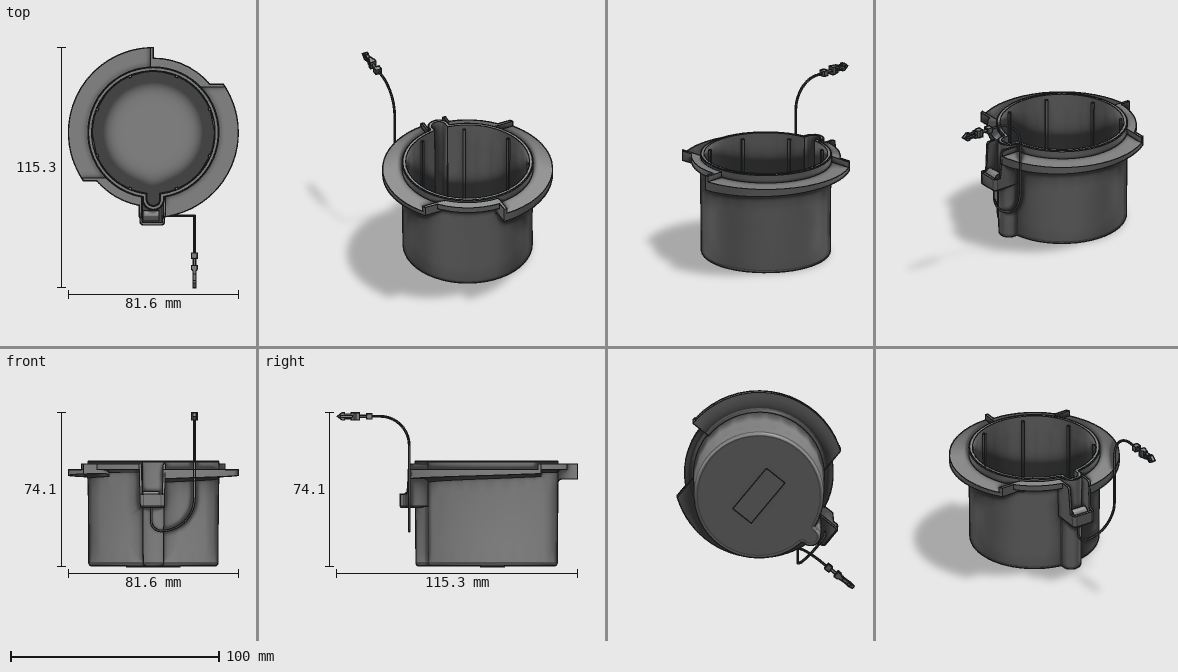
import cadquery as cq
import math

rim_z = 50.4
cup_radius = 31.5
cup_wall = 1.8
floor_thickness = 2.0
draft = 0.5
base_fillet = 1.6
rim_chamfer = 0.4
column_y = -32.0
column_radius = 5.25
pad_size = (25.6, 11.4)
pad_height = 0.4

rib_count = 8
rib_width = 1.2
rib_inner_radius = 28.6
rib_top_z = rim_z - 2.3

flange_radius = 40.8
flange_top_z = rim_z - 4.2
ring_radius = 35.7
ring_top_z = rim_z - 1.4
sector_end = 23.2
tab_thickness = 1.4
thick_end = 4.5
ramp_pitch = 7.3
ramp_angle = 145.0
root_fillet = 1.9

lug_left = -6.85
lug_right = 5.8
lug_side_draft = 0.6
lug_wall = 1.05
lug_back_y = -28.5
lug_top_z = ring_top_z
lug_bottom_z = rim_z - 22.4
box_top_z = rim_z - 15.95
box_front_y = -44.4
box_wall = 1.25
box_corner = 1.6
lug_bottom_chamfer = 0.7
arm_top_y = -40.2
arm_bottom_y = -41.1
arm_round = 1.5

barrel_diameter = 5.0
barrel_length = 7.8
barrel_x = -1.1
barrel_y = -40.0
barrel_z = rim_z - 17.25
wire_diameter = 0.8
small_bend = 5.0
large_bend = 15.8
upper_bend = 13.9
low_point_z = rim_z - 33.6
plug_z = rim_z + 21.4
plug_x = barrel_x + small_bend + large_bend

ferrule_start = -57.8
ferrule_end = -60.45
ferrule_height = 2.65
stem_diameter = 1.3
block_start = -63.75
block_taper_start = -65.5
block_taper_end = -66.5
block_end = -67.8
block_height = 3.7
plug_width = 2.9
prong_width = 1.6
prong_half_height = 1.15
barb_back = -70.95
barb_front = -72.3
barb_half_height = 1.75
tip_y = -74.54
slot_start = -67.3
slot_end = -73.0
slot_height = 0.8

floor_of_lug_z = barrel_z - barrel_diameter / 2


def cylinder(radius, bottom, top):
    return cq.Workplane("XY").workplane(offset=bottom).circle(radius).extrude(top - bottom)


def block(x_range, y_range, z_range):
    size = [high - low for low, high in (x_range, y_range, z_range)]
    corner = (x_range[0], y_range[0], z_range[0])
    return cq.Workplane("XY").box(*size, centered=False).translate(corner)


def keyhole_outline(offset, z):
    """Outline of the round cup with its column, inset by offset, drawn at height z."""
    radius = cup_radius - offset
    half_width = column_radius - offset
    joint_y = -math.sqrt(radius**2 - half_width**2)
    return (
        cq.Workplane("XY")
        .workplane(offset=z)
        .moveTo(half_width, joint_y)
        .threePointArc((0, radius), (-half_width, joint_y))
        .lineTo(-half_width, column_y)
        .threePointArc((0, column_y - half_width), (half_width, column_y))
        .close()
    )


def make_core():
    """Solid outer form of the cup, with a chamfered rim and a rounded base."""
    shoulder_z = rim_z - rim_chamfer
    core = keyhole_outline(0, shoulder_z).extrude(-shoulder_z, taper=draft)
    core = core.faces("<Z").edges().fillet(base_fillet)
    return core.union(keyhole_outline(0, shoulder_z).extrude(rim_chamfer, taper=45))


def make_cavity():
    """Inside of the cup, with the grip ribs left standing on its wall."""
    cavity = keyhole_outline(cup_wall, rim_z).extrude(floor_thickness - rim_z, taper=draft)
    ribs_z = (floor_thickness, rib_top_z)
    for i in range(rib_count):
        rib = block((rib_inner_radius, cup_radius), (-rib_width / 2, rib_width / 2), ribs_z)
        cavity = cavity.cut(rib.rotate((0, 0, 0), (0, 0, 1), (i + 0.5) * 360 / rib_count))
    return cavity


def ring_zone(radius, bottom, top):
    """Annulus from inside the cup wall out to radius."""
    return cylinder(radius, bottom, top).cut(cylinder(cup_radius - cup_wall / 2, bottom, top))


def make_sector():
    """Flange sector from the +Y axis round over -X, with a helical underside and two end tabs."""
    wall_radius = cup_radius - 0.1
    inner_radius = cup_radius - cup_wall / 2
    underside_z = flange_top_z - thick_end
    above = ramp_pitch * ramp_angle / 360
    profile = (
        cq.Workplane("XZ")
        .moveTo(inner_radius, underside_z - root_fillet)
        .lineTo(wall_radius, underside_z - root_fillet)
        .radiusArc((wall_radius + root_fillet, underside_z), root_fillet)
        .lineTo(flange_radius + 1, underside_z)
        .lineTo(flange_radius + 1, flange_top_z + above)
        .lineTo(inner_radius, flange_top_z + above)
        .close()
    )
    helix = cq.Wire.makeHelix(ramp_pitch, above, inner_radius)
    ramp = profile.sweep(cq.Workplane(obj=helix), isFrenet=True).rotate((0, 0, 0), (0, 0, 1), 90)
    low_z = underside_z - 2 * root_fillet
    envelope = ring_zone(flange_radius, low_z, flange_top_z)
    left_half = block((-flange_radius, 0), (-sector_end, flange_radius), (low_z, ring_top_z))
    sector = ramp.intersect(envelope).intersect(left_half)

    tab_zone = ring_zone(flange_radius, flange_top_z - 1, ring_top_z)
    tab_z = (flange_top_z - 1, ring_top_z)
    thick_tab = block((-tab_thickness, 0), (0, flange_radius), tab_z)
    thin_tab = block((-flange_radius, 0), (-sector_end, tab_thickness - sector_end), tab_z)
    return sector.union(thick_tab.intersect(tab_zone)).union(thin_tab.intersect(tab_zone))


def make_ring():
    """Narrow raised ring, from the thin end of one sector to the thick end of the other."""
    inner_radius = cup_radius - cup_wall / 2
    wall_radius = cup_radius - 0.1
    profile = (
        cq.Workplane("XZ")
        .moveTo(inner_radius, flange_top_z - root_fillet)
        .lineTo(wall_radius, flange_top_z - root_fillet)
        .radiusArc((wall_radius + root_fillet, flange_top_z), root_fillet)
        .lineTo(ring_radius, flange_top_z)
        .lineTo(ring_radius, ring_top_z)
        .lineTo(inner_radius, ring_top_z)
        .close()
    )
    ring = profile.revolve(360, (0, 0, 0), (0, 1, 0))
    z_range = (flange_top_z - root_fillet, ring_top_z)
    return ring.intersect(block((-ring_radius, 0), (-ring_radius, -sector_end), z_range))


def lug_section(inset, bottom, top):
    """Front section of the lug between its drafted sides, as a long bar along Y."""
    slope = lug_side_draft / (lug_top_z - lug_bottom_z)
    low = slope * (lug_top_z - bottom) + inset
    high = slope * (lug_top_z - top) + inset
    return (
        cq.Workplane("XZ", origin=(0, lug_back_y, 0))
        .polyline([
            (lug_left + low, bottom),
            (lug_right - low, bottom),
            (lug_right - high, top),
            (lug_left + high, top),
        ])
        .close()
        .extrude(lug_back_y - box_front_y + 1)
    )


def make_lug():
    """Two side arms and the box at their foot, before the channel is cut."""
    arms = (
        cq.Workplane("YZ", origin=(lug_left, 0, 0))
        .moveTo(lug_back_y, lug_bottom_z)
        .lineTo(arm_bottom_y, lug_bottom_z)
        .lineTo(arm_bottom_y, box_top_z)
        .lineTo(arm_top_y, lug_top_z - arm_round)
        .radiusArc((arm_top_y + arm_round, lug_top_z), arm_round)
        .lineTo(lug_back_y, lug_top_z)
        .close()
        .extrude(lug_right - lug_left)
        .intersect(lug_section(0, lug_bottom_z, lug_top_z))
    )
    box = lug_section(0, lug_bottom_z, box_top_z)
    box = box.intersect(
        block((lug_left, lug_right), (box_front_y, lug_back_y), (lug_bottom_z, box_top_z))
    )
    box = box.faces("<Y").edges("not #Z").edges("not |X").fillet(box_corner)
    lug = box.union(arms)
    return lug.faces("<Z").edges("<Y").chamfer(lug_bottom_chamfer)


def make_channel(core):
    """Space between the lug arms, open at the front above the box."""
    top = rim_z + 1
    upper = lug_section(lug_wall, floor_of_lug_z, top)
    low_front = block(
        (lug_left, lug_right),
        (box_front_y - 2, box_front_y + box_wall),
        (floor_of_lug_z - 1, box_top_z),
    )
    return upper.cut(low_front).cut(core)


def make_cup():
    sector = make_sector()
    ring = make_ring()
    core = make_core()
    cup = core
    for angle in (0, 180):
        cup = cup.union(sector.rotate((0, 0, 0), (0, 0, 1), angle))
        cup = cup.union(ring.rotate((0, 0, 0), (0, 0, 1), angle))
    cup = cup.union(make_lug()).cut(make_channel(core)).cut(make_cavity())
    wire_hole = cq.Workplane("XY").center(barrel_x, barrel_y).circle(wire_diameter / 2)
    cup = cup.cut(wire_hole.extrude(barrel_z))
    pad = cq.Workplane("XY").workplane(offset=-pad_height).rect(*pad_size)
    return cup.union(pad.extrude(pad_height + floor_thickness / 2))


def make_wire():
    """Round wire from the barrel, down and round in an XZ plane, then up and over towards -Y."""
    first_bend_z = low_point_z + small_bend
    low_x = barrel_x + small_bend
    rise_z = low_point_z + large_bend
    half = math.sqrt(0.5)
    lower = (
        cq.Workplane("XZ", origin=(0, barrel_y, 0))
        .moveTo(barrel_x, barrel_z)
        .lineTo(barrel_x, first_bend_z)
        .threePointArc(
            (low_x - small_bend * half, first_bend_z - small_bend * half), (low_x, low_point_z)
        )
        .threePointArc((low_x + large_bend * half, rise_z - large_bend * half), (plug_x, rise_z))
        .lineTo(plug_x, plug_z - upper_bend)
    )
    upper = (
        cq.Workplane("YZ", origin=(plug_x, 0, 0))
        .moveTo(barrel_y, plug_z - upper_bend)
        .threePointArc(
            (barrel_y - upper_bend * (1 - half), plug_z - upper_bend * (1 - half)),
            (barrel_y - upper_bend, plug_z),
        )
        .lineTo(ferrule_end, plug_z)
    )
    edges = lower.wire().val().Edges() + upper.wire().val().Edges()
    path = cq.Workplane(obj=cq.Wire.assembleEdges(edges))
    start = cq.Workplane("XY", origin=(barrel_x, barrel_y, barrel_z))
    return start.circle(wire_diameter / 2).sweep(path)


def make_plug():
    """Ferrule, stem, block and slotted arrow tip in line along -Y."""
    side = cq.Workplane("YZ", origin=(plug_x, 0, plug_z))
    end = cq.Workplane("XZ", origin=(plug_x, ferrule_start, plug_z))
    ferrule = end.rect(plug_width, ferrule_height).extrude(ferrule_start - ferrule_end)
    stem = end.circle(stem_diameter / 2).extrude(ferrule_start - block_end)
    head = (
        cq.Workplane("XY", origin=(plug_x, 0, plug_z - block_height / 2))
        .polyline([
            (-plug_width / 2, block_start),
            (plug_width / 2, block_start),
            (plug_width / 2, block_taper_start),
            (prong_width / 2, block_taper_end),
            (prong_width / 2, block_end),
            (-prong_width / 2, block_end),
            (-prong_width / 2, block_taper_end),
            (-plug_width / 2, block_taper_start),
        ])
        .close()
        .extrude(block_height)
    )
    arrow = (
        side.polyline([
            (block_start, prong_half_height),
            (barb_back, prong_half_height),
            (barb_back, barb_half_height),
            (barb_front, barb_half_height),
            (tip_y, 0),
            (barb_front, -barb_half_height),
            (barb_back, -barb_half_height),
            (barb_back, -prong_half_height),
            (block_start, -prong_half_height),
        ])
        .close()
        .extrude(prong_width / 2, both=True)
    )
    slot = (
        side.center((slot_start + slot_end) / 2, 0)
        .rect(slot_start - slot_end, slot_height)
        .extrude(plug_width, both=True)
    )
    return ferrule.union(stem).union(head).union(arrow).cut(slot)


def make_tether():
    """Barrel, wire and plug as one body."""
    barrel = (
        cq.Workplane("YZ", origin=(barrel_x, barrel_y, barrel_z))
        .circle(barrel_diameter / 2)
        .extrude(barrel_length / 2, both=True)
    )
    return barrel.union(make_wire()).union(make_plug())


cup = make_cup()
tether = make_tether()
result = cq.Compound.makeCompound([cup.val(), tether.val()])